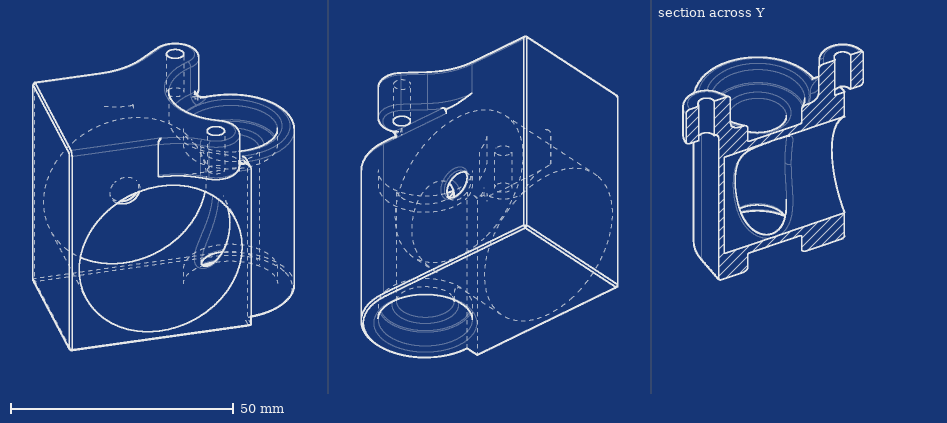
import cadquery as cq
import math

HEIGHT = 52.3
BARREL_R = 14.4
BODY_LEFT = -BARREL_R
BODY_RIGHT = 17.9
BODY_FRONT = -42.25
PLATE_THICKNESS = 10.0
SEAT_Z = HEIGHT - PLATE_THICKNESS

EAR_X = 17.4
EAR_Y = -8.1
EAR_R = 5.33
EAR_HOLE_D = 3.9
EAR_HOLE_DEPTH = PLATE_THICKNESS + 0.1
EAR_SWEEP_R = 16.5
RIGHT_SWEEP_STEP = 0.2
FLANK_LEAN = {-1: 38.0, 1: 33.0}
EAR_DISTANCE = math.hypot(EAR_X, EAR_Y)
SCOOP_R = EAR_DISTANCE - EAR_R

BORE_D = 13.0
BEARING_D = 21.2
BEARING_DEPTH = 5.0

WHEEL_D = 38.0
WHEEL_AXIS_Y = -21.1
WHEEL_AXIS_Z = 21.2
SIDE_WALL = 1.6
AXLE_HOLE_D = 7.0
AXLE_EDGE_R = 0.55

EDGE_R = 1.0
FOOT_R = 2.0
SEAT_CORNER_R = 0.25
UNDER_EAR_R = 1.0
UNDER_EAR_END_Y = -18.7
CHAMFER = 0.5

ARC_MIDPOINT = 1 - math.sqrt(0.5)

MARGIN = 5.0


def box_between(low, high):
    """Axis-aligned box between two opposite corners."""
    size = [b - a for a, b in zip(low, high)]
    return cq.Workplane("XY").box(*size, centered=False).translate(low)


def body_prism(height):
    """Rectangular body joined with the barrel around the shaft."""
    block = box_between((BODY_LEFT, BODY_FRONT, 0), (BODY_RIGHT, 0, height))
    return block.union(cq.Workplane("XY").circle(BARREL_R).extrude(height))


def ear_flank(side, wall_x):
    """Points of one flank: end of the ear, then the concave sweep down to the wall.

    The sweep is tangent to the wall, and a straight line joins it to the ear.
    Distances are taken outward, so both sides share the same formulas.
    """
    lean = math.radians(FLANK_LEAN[side])
    sweep_x = wall_x + EAR_SWEEP_R
    gap = EAR_R + EAR_SWEEP_R - (sweep_x - EAR_X) * math.cos(lean)
    sweep_y = EAR_Y - gap / math.sin(lean)

    def on_sweep(angle):
        return (
            side * (sweep_x - EAR_SWEEP_R * math.cos(angle)),
            sweep_y + EAR_SWEEP_R * math.sin(angle),
        )

    ear_end = (
        side * (EAR_X + EAR_R * math.cos(lean)),
        EAR_Y - EAR_R * math.sin(lean),
    )
    return ear_end, on_sweep(lean), on_sweep(lean / 2), on_sweep(0)


def plate_prism(bottom_z):
    """Top plate outline with both ears and the concave scoop."""
    left_ear, left_top, left_mid, left_wall = ear_flank(-1, -BODY_LEFT)
    right_ear, right_top, right_mid, right_wall = ear_flank(1, BODY_RIGHT + RIGHT_SWEEP_STEP)
    join_x = EAR_X * SCOOP_R / EAR_DISTANCE
    join_y = EAR_Y * SCOOP_R / EAR_DISTANCE
    ear_top_y = EAR_Y + EAR_R
    return (
        cq.Workplane("XY", origin=(0, 0, bottom_z))
        .moveTo(BODY_LEFT, BODY_FRONT)
        .lineTo(BODY_RIGHT, BODY_FRONT)
        .lineTo(BODY_RIGHT, right_wall[1])
        .lineTo(*right_wall)
        .threePointArc(right_mid, right_top)
        .lineTo(*right_ear)
        .threePointArc((EAR_X, ear_top_y), (join_x, join_y))
        .threePointArc((0, -SCOOP_R), (-join_x, join_y))
        .threePointArc((-EAR_X, ear_top_y), left_ear)
        .lineTo(*left_top)
        .threePointArc(left_mid, left_wall)
        .close()
        .extrude(HEIGHT - bottom_z)
    )


def top_plate():
    """Plate with rounded edges; its underside is rounded only outside the body.

    The sharp core fills the plate within the body, down past the rounded body rim.
    """
    sharp = plate_prism(SEAT_Z)
    core = plate_prism(SEAT_Z - EDGE_R).intersect(
        box_between((BODY_LEFT, BODY_FRONT, 0), (BODY_RIGHT, 0, HEIGHT - 2 * EDGE_R))
    )
    front_edges = cq.selectors.BoxSelector(
        (BODY_LEFT - MARGIN, BODY_FRONT - CHAMFER, 0),
        (BODY_RIGHT + MARGIN, BODY_FRONT + CHAMFER, HEIGHT + MARGIN),
    )
    top_face_edges = sharp.faces(">Z").edges(cq.selectors.InverseSelector(front_edges))
    rounded = top_face_edges.fillet(EDGE_R)
    rounded = rounded.faces("<Z").edges("not(<Y)").fillet(EDGE_R)
    return rounded.union(core)


def lower_body():
    """Body up to the seat level, with a rounded upper rim."""
    body = body_prism(SEAT_Z)
    rim = cq.selectors.BoxSelector(
        (BODY_LEFT - MARGIN, BODY_FRONT / 2, SEAT_Z - EDGE_R),
        (BODY_RIGHT + MARGIN, BARREL_R + MARGIN, SEAT_Z + EDGE_R),
    )
    return body.edges(rim).fillet(EDGE_R)


def foot_profile(wall_r, outward):
    """Concave fillet section on the seat against a round wall, as an XZ sketch."""
    reach = outward * FOOT_R
    bulge = FOOT_R * ARC_MIDPOINT
    return (
        cq.Workplane("XZ")
        .moveTo(wall_r, SEAT_Z)
        .lineTo(wall_r + reach, SEAT_Z)
        .threePointArc((wall_r + outward * bulge, SEAT_Z + bulge), (wall_r, SEAT_Z + FOOT_R))
        .close()
    )


def plate_foot():
    """Fillet where the plate rises from the seat: along the scoop, then around each ear."""
    sector = (
        cq.Workplane("XY", origin=(0, 0, SEAT_Z))
        .polyline([(0, 0), (2 * EAR_X, 2 * EAR_Y), (-2 * EAR_X, 2 * EAR_Y)])
        .close()
        .extrude(FOOT_R)
    )
    foot = foot_profile(SCOOP_R, -1).revolve().intersect(sector)
    for side in (-1, 1):
        ring = foot_profile(EAR_R, 1).revolve().translate((side * EAR_X, EAR_Y, 0))
        foot = foot.union(ring.cut(sector))
    seat_area = box_between(
        (BODY_LEFT + EDGE_R, BODY_FRONT / 2, 0), (BODY_RIGHT - EDGE_R, 0, HEIGHT)
    )
    return foot.intersect(seat_area)


def under_ear_fillet():
    """Concave fillet between the underside of the left ear and the body side."""
    ear_tip_y = EAR_Y + EAR_R - EDGE_R
    bulge = UNDER_EAR_R * ARC_MIDPOINT
    return (
        cq.Workplane("XZ", origin=(BODY_LEFT, ear_tip_y, SEAT_Z))
        .lineTo(-UNDER_EAR_R, 0)
        .threePointArc((-bulge, -bulge), (0, -UNDER_EAR_R))
        .close()
        .extrude(ear_tip_y - UNDER_EAR_END_Y)
    )


def rounded_entry(diameter, bottom_z, top_z, rim_r, corner_r=0):
    """Cutter for a vertical hole with a rounded upper rim and, if given, a rounded floor corner."""
    radius = diameter / 2
    bulge = rim_r * ARC_MIDPOINT
    cutter = (
        cq.Workplane("XZ")
        .moveTo(0, bottom_z)
        .lineTo(radius, bottom_z)
        .lineTo(radius, top_z - rim_r)
        .threePointArc((radius + bulge, top_z - bulge), (radius + rim_r, top_z))
        .lineTo(0, top_z)
        .close()
        .revolve()
    )
    if corner_r > 0:
        cutter = cutter.faces("<Z").edges().fillet(corner_r)
    return cutter


def cut_shaft_bore(part):
    """Through bore with a bearing seat at each end and rounded rims.

    The bore is symmetric about half the seat height.
    """
    upper_floor_z = SEAT_Z - BEARING_DEPTH
    upper_seat = rounded_entry(BEARING_D, upper_floor_z, SEAT_Z, EDGE_R, SEAT_CORNER_R)
    upper_bore = rounded_entry(BORE_D, SEAT_Z / 2, upper_floor_z, EDGE_R)
    upper = upper_seat.union(upper_bore)
    lower = upper.mirror("XY", (0, 0, SEAT_Z / 2))
    return part.cut(upper.union(lower))


def cut_wheel_chamber(part):
    """Wheel chamber open on the right and the rounded axle hole in the left wall.

    The edges where the chamber breaks into the shaft bore are rounded.
    """
    chamber = (
        cq.Workplane("YZ", origin=(BODY_LEFT + SIDE_WALL, WHEEL_AXIS_Y, WHEEL_AXIS_Z))
        .circle(WHEEL_D / 2)
        .extrude(BODY_RIGHT - BODY_LEFT)
    )
    axle_hole = (
        rounded_entry(AXLE_HOLE_D, -2 * SIDE_WALL, 0, AXLE_EDGE_R)
        .rotate((0, 0, 0), (0, 1, 0), -90)
        .translate((BODY_LEFT, WHEEL_AXIS_Y, WHEEL_AXIS_Z))
    )
    part = part.cut(axle_hole).cut(chamber)
    crossing = cq.selectors.BoxSelector(
        (-BORE_D / 2, -BORE_D / 2, BEARING_DEPTH + EDGE_R),
        (BORE_D / 2, 0, SEAT_Z - BEARING_DEPTH - 2 * EDGE_R),
    )
    return part.edges(crossing).fillet(EDGE_R)


def cut_ear_holes(part):
    """Screw hole through each ear."""
    ears = [(-EAR_X, EAR_Y), (EAR_X, EAR_Y)]
    top = cq.Workplane("XY", origin=(0, 0, HEIGHT))
    return part.cut(top.pushPoints(ears).circle(EAR_HOLE_D / 2).extrude(-EAR_HOLE_DEPTH))


def build_part():
    """Assemble the housing and cut its bores."""
    body = lower_body().union(top_plate())
    body = body.faces("<Y or <Z").edges().chamfer(CHAMFER)
    body = body.union(plate_foot()).union(under_ear_fillet())
    body = cut_shaft_bore(body)
    body = cut_wheel_chamber(body)
    return cut_ear_holes(body)


result = build_part()